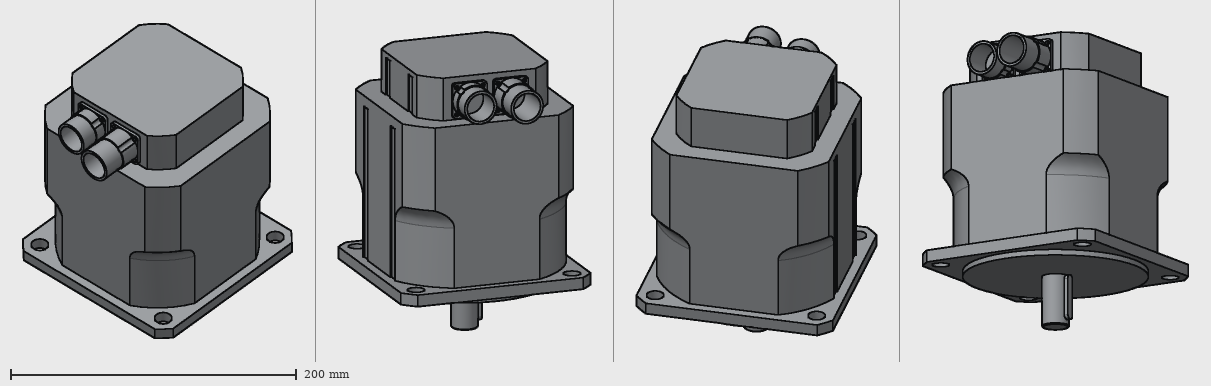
import cadquery as cq
import math


FLANGE_SIDE = 142.0
FLANGE_CORNER_DIAMETER = 188.3
FLANGE_THICKNESS = 8.5
BOLT_CIRCLE_DIAMETER = 165.0
BOLT_HOLE_DIAMETER = 12.0
SPIGOT_DIAMETER = 130.0
SPIGOT_HEIGHT = 4.0

HOUSING_SIDE = 128.0
HOUSING_CORNER_DIAMETER = 157.8
HOUSING_HEIGHT = 118.2
RELIEF_CORNER_DIAMETER = 143.0
RELIEF_HEIGHT = 44.0
RELIEF_RUNOUT_RADIUS = 16.5

CAP_SIDE = 98.0
CAP_CORNER_DIAMETER = 120.0
CAP_HEIGHT = 31.0

GROOVE_WIDTH = 8.1
GROOVE_DEPTH = 1.0
HOUSING_GROOVE_OFFSET = 26.5
HOUSING_GROOVE_TOP_MARGIN = 8.0
CAP_GROOVE_OFFSET = 22.0
CAP_GROOVE_TOP_MARGIN = 4.0

SHAFT_DIAMETER = 19.0
SHAFT_LENGTH = 36.2
SHAFT_CHAMFER = 0.8
KEY_WIDTH = 6.0
KEY_LENGTH = 32.0
KEY_REACH = 12.0

CONNECTOR_SPACING = 30.9
CONNECTOR_DROP = 17.0
PLATE_SIDE = 25.5
PLATE_CORNER_RADIUS = 2.5
PLATE_THICKNESS = 2.5
SCREW_HOLE_SPACING = 19.8
SCREW_HOLE_DIAMETER = 2.8
SCREW_CLEARANCE_RADIUS = 2.5
COLLAR_DIAMETER = PLATE_SIDE
BARREL_DIAMETER = 24.0
BORE_DIAMETER = 20.0
SHORT_COLLAR_END = 11.0
SHORT_LENGTH = 23.8
LONG_COLLAR_END = 17.5
LONG_LENGTH = 34.0

HOUSING_BASE_Z = FLANGE_THICKNESS
CAP_BASE_Z = HOUSING_BASE_Z + HOUSING_HEIGHT
CAP_TOP_Z = CAP_BASE_Z + CAP_HEIGHT
CONNECTOR_Z = CAP_TOP_Z - CONNECTOR_DROP
CAP_FACE_Y = -CAP_SIDE / 2


def round_cornered_block(side, corner_diameter, height, base_z):
    """Square block with corners cut by a cylinder on the motor axis."""
    block = cq.Workplane("XY", origin=(0, 0, base_z)).rect(side, side).extrude(height)
    corners = cq.Workplane("XY", origin=(0, 0, base_z)).circle(corner_diameter / 2).extrude(height)
    return block.intersect(corners)


def cut_side_grooves(block, side, offset, base_z, height):
    """Cut the pair of vertical grooves into the -X side of a block, open at its base."""
    cutter = (
        cq.Workplane("XY", origin=(-side / 2, 0, base_z))
        .pushPoints([(0, -offset), (0, offset)])
        .rect(2 * GROOVE_DEPTH, GROOVE_WIDTH)
        .extrude(height)
    )
    return block.cut(cutter)


def make_flange():
    flange = round_cornered_block(FLANGE_SIDE, FLANGE_CORNER_DIAMETER, FLANGE_THICKNESS, 0)
    bolt_spacing = BOLT_CIRCLE_DIAMETER / math.sqrt(2)
    bolt_holes = (
        cq.Workplane("XY")
        .rect(bolt_spacing, bolt_spacing, forConstruction=True)
        .vertices()
        .circle(BOLT_HOLE_DIAMETER / 2)
        .extrude(FLANGE_THICKNESS)
    )
    spigot = cq.Workplane("XY").circle(SPIGOT_DIAMETER / 2).extrude(-SPIGOT_HEIGHT)
    return flange.union(spigot).cut(bolt_holes)


def make_housing():
    """Square block intersected with a turned shape that rounds and relieves the corners."""
    relief_radius = RELIEF_CORNER_DIAMETER / 2
    corner_radius = HOUSING_CORNER_DIAMETER / 2
    relief_top_z = HOUSING_BASE_Z + RELIEF_HEIGHT

    widening = corner_radius - relief_radius
    sweep_angle = math.acos(1 - widening / RELIEF_RUNOUT_RADIUS)

    def runout_point(angle):
        radius = relief_radius + RELIEF_RUNOUT_RADIUS * (1 - math.cos(angle))
        return (radius, relief_top_z + RELIEF_RUNOUT_RADIUS * math.sin(angle))

    corners = (
        cq.Workplane("XZ")
        .moveTo(0, HOUSING_BASE_Z)
        .lineTo(relief_radius, HOUSING_BASE_Z)
        .lineTo(relief_radius, relief_top_z)
        .threePointArc(runout_point(sweep_angle / 2), runout_point(sweep_angle))
        .lineTo(corner_radius, CAP_BASE_Z)
        .lineTo(0, CAP_BASE_Z)
        .close()
        .revolve(360, (0, 0, 0), (0, 1, 0))
    )
    block = cq.Workplane("XY", origin=(0, 0, HOUSING_BASE_Z)).rect(HOUSING_SIDE, HOUSING_SIDE)
    housing = block.extrude(HOUSING_HEIGHT).intersect(corners)
    groove_height = HOUSING_HEIGHT - HOUSING_GROOVE_TOP_MARGIN
    return cut_side_grooves(housing, HOUSING_SIDE, HOUSING_GROOVE_OFFSET, HOUSING_BASE_Z, groove_height)


def make_cap():
    cap = round_cornered_block(CAP_SIDE, CAP_CORNER_DIAMETER, CAP_HEIGHT, CAP_BASE_Z)
    groove_height = CAP_HEIGHT - CAP_GROOVE_TOP_MARGIN
    return cut_side_grooves(cap, CAP_SIDE, CAP_GROOVE_OFFSET, CAP_BASE_Z, groove_height)


def make_shaft():
    """Shaft with a round-ended key on its +X side, starting at the spigot face."""
    shaft = (
        cq.Workplane("XY", origin=(0, 0, -SPIGOT_HEIGHT))
        .circle(SHAFT_DIAMETER / 2)
        .extrude(-SHAFT_LENGTH)
        .faces("<Z")
        .chamfer(SHAFT_CHAMFER)
    )
    key_center_z = -SPIGOT_HEIGHT - KEY_LENGTH / 2
    key = cq.Workplane("YZ").center(0, key_center_z).slot2D(KEY_LENGTH, KEY_WIDTH, 90).extrude(KEY_REACH)
    return shaft.union(key)


def make_motor():
    return make_flange().union(make_housing()).union(make_cap()).union(make_shaft())


def make_connector(center_x, collar_end, length):
    """Flanged connector that stands on the cap face and points along -Y."""

    def plane_at(distance):
        return cq.Workplane("XZ", origin=(center_x, CAP_FACE_Y - distance, CONNECTOR_Z))

    def at_screws(distance):
        square = plane_at(distance).rect(SCREW_HOLE_SPACING, SCREW_HOLE_SPACING, forConstruction=True)
        return square.vertices()

    plate = plane_at(0).rect(PLATE_SIDE, PLATE_SIDE).extrude(PLATE_THICKNESS)
    plate = plate.edges("|Y").fillet(PLATE_CORNER_RADIUS)
    plate = plate.cut(at_screws(0).circle(SCREW_HOLE_DIAMETER / 2).extrude(PLATE_THICKNESS))

    collar_length = collar_end - PLATE_THICKNESS
    collar = plane_at(PLATE_THICKNESS).circle(COLLAR_DIAMETER / 2).extrude(collar_length)
    scallops = at_screws(PLATE_THICKNESS).circle(SCREW_CLEARANCE_RADIUS).extrude(collar_length)
    collar = collar.cut(scallops)

    barrel = plane_at(collar_end).circle(BARREL_DIAMETER / 2).extrude(length - collar_end)
    bore = plane_at(PLATE_THICKNESS).circle(BORE_DIAMETER / 2).extrude(length - PLATE_THICKNESS)
    return plate.union(collar).union(barrel).cut(bore)


motor = make_motor()

connectors = []
for center_x, collar_end, length in (
    (-CONNECTOR_SPACING / 2, SHORT_COLLAR_END, SHORT_LENGTH),
    (CONNECTOR_SPACING / 2, LONG_COLLAR_END, LONG_LENGTH),
):
    connectors.append(make_connector(center_x, collar_end, length))

result = cq.Compound.makeCompound([motor.val(), *[connector.val() for connector in connectors]])